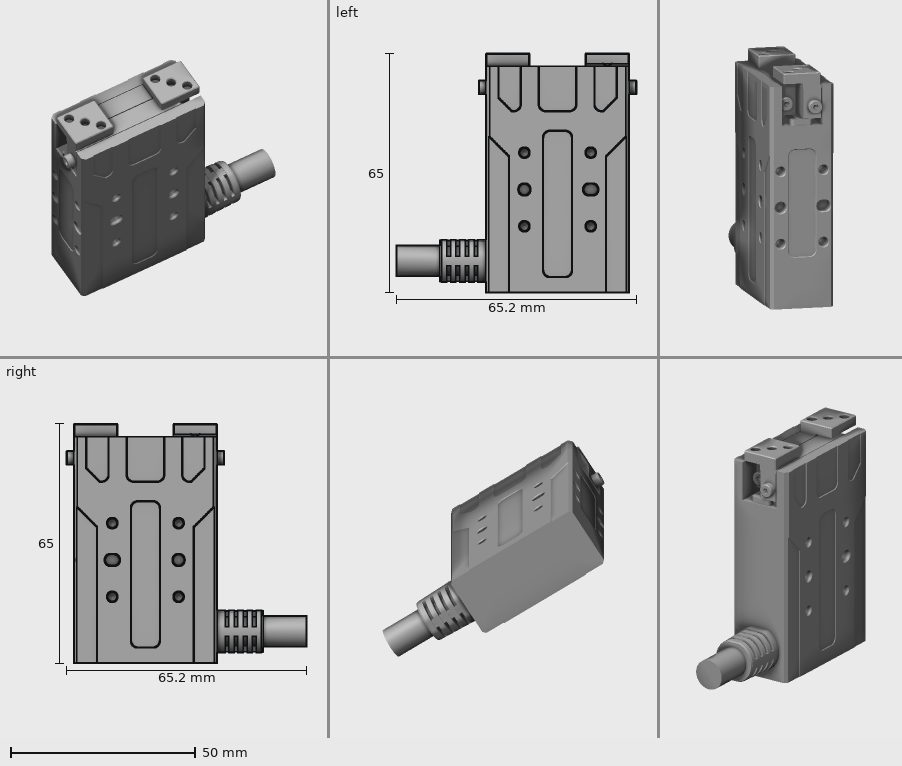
import cadquery as cq
import math

HOUSING_WIDTH = 18.0
HOUSING_LENGTH = 38.9
HOUSING_HEIGHT = 61.5
CORNER_CHAMFER = 1.0
HALF_WIDTH = HOUSING_WIDTH / 2
HALF_LENGTH = HOUSING_LENGTH / 2

SLOT_WIDTH = 11.3
SLOT_FLOOR = 50.4

RECESS_DEPTH = 0.2
RECESS_WALL_ANGLE = 45.0
RECESS_RADIUS = 2.0
RECESS_OVERRUN = 1.0
PANEL_WIDTH = 8.05
PANEL_TOP = 44.05
SIDE_PANEL_BOTTOM = 4.1
FRONT_PANEL_BOTTOM = 14.05
TOP_POCKET_BOTTOM = 49.15
OPEN_TOP = HOUSING_HEIGHT + RECESS_OVERRUN
MIDDLE_POCKET_WIDTH = 10.4
OUTER_POCKET_INNER_Y = 9.9
OUTER_POCKET_OUTER_Y = 16.15
OUTER_POCKET_CHAMFER = 3.7
FLANK_INNER_Y = 13.05
FLANK_SHOULDER_Z = 37.0
FLANK_TOP_Z = FLANK_SHOULDER_Z + HALF_LENGTH - FLANK_INNER_Y

MOUNT_CENTER_Z = 28.0
MOUNT_PITCH_Z = 10.0
SIDE_HOLE_Y = 9.0
FRONT_HOLE_X = 6.0
SCREW_HOLE_DIAMETER = 2.5
SCREW_HOLE_DEPTH = 6.0
DOWEL_DIAMETER = 3.0
DOWEL_DEPTH = 3.0
DOWEL_SLOT_LENGTH = 3.8
HOLE_CHAMFER = 0.25
DRILL_POINT_ANGLE = 118.0

RAIL_TOP = 52.1
RAIL_WIDTH = 2.0
RAIL_HEAD_WIDTH = 6.1
RAIL_HEAD_LENGTH = 1.9
RAIL_HEAD_RADIUS = 1.0
RAIL_HALF_LENGTH = 19.1

CABLE_Z = 8.6
CABLE_DIAMETER = 8.4
CABLE_END_Y = 43.75
BOOT_BASE_DIAMETER = 12.9
BOOT_TIP_DIAMETER = 12.0
BOOT_TIP_Y = 31.95
BOOT_TIP_BEVEL_LENGTH = 0.5
BOOT_TIP_BEVEL_HEIGHT = 0.2
BOOT_FLAT_BLEND = 2.5
BOOT_HEIGHT = 11.5
BOOT_GROOVE_COUNT = 4
BOOT_GROOVE_WIDTH = 1.0
BOOT_GROOVE_PITCH = 2.47
BOOT_FIRST_GROOVE_Y = 22.15
BOOT_RIB_HALF_HEIGHT = 1.3
BOOT_CORE_DIAMETER = 8.2
BOOT_WEB_WIDTH = 2.4
BOOT_WEB_HEIGHT = 11.1

JAW_OUTER_Y = HALF_LENGTH
JAW_TOP = 65.0
PLATE_WIDTH = 10.4
PLATE_LENGTH = 11.9
PLATE_CENTER_Y = JAW_OUTER_Y - PLATE_LENGTH / 2
PLATE_UNDERSIDE = 62.15
PLATE_CHAMFER = 0.25

BAR_BOTTOM = 52.36
BAR_INNER_X = 0.3
BAR_OUTER_X = PLATE_WIDTH / 2
BAR_FAR_Y = 13.3
FLANGE_THICKNESS = 0.9
FLANGE_INNER_X = 0.15
FLANGE_OUTER_X = 5.45

FOOT_BOTTOM = 50.85
FOOT_INNER_X = 2.6
FOOT_OUTER_X = 5.0
FOOT_HALF_LENGTH = 10.0

STOP_SCREW_X = 3.3
STOP_SCREW_Z = 55.7
STOP_SCREW_DIAMETER = 3.8
STOP_SCREW_LENGTH = 2.0
STOP_SCREW_CHAMFER = 0.2
SOCKET_ACROSS_FLATS = 1.5
SOCKET_DEPTH = 1.0

TIP_HOLE_X = 3.15
TIP_HOLE_Y = 3.2
TIP_DOWEL_DIAMETER = 2.7
TIP_DOWEL_DEPTH = 2.3
TIP_THREAD_DEPTH = JAW_TOP - PLATE_UNDERSIDE
TIP_HOLE_CHAMFER = 0.15


def box_between(x0, x1, y0, y1, z0, z1):
    return cq.Workplane("XY").box(x1 - x0, y1 - y0, z1 - z0, centered=False).translate((x0, y0, z0))


def drill_point_length(radius):
    return radius / math.tan(math.radians(DRILL_POINT_ANGLE / 2))


def drilled_hole(diameter, depth, chamfer):
    """Cutter for a chamfered hole with a drill point, going down from the origin."""
    radius = diameter / 2
    profile = [
        (0, 0),
        (radius + chamfer, 0),
        (radius, -chamfer),
        (radius, -depth),
        (0, -depth - drill_point_length(radius)),
    ]
    return cq.Workplane("XZ").polyline(profile).close().revolve(360, (0, 0, 0), (0, 1, 0))


def flat_hole(diameter, depth, chamfer, length=None):
    """Cutter for a chamfered flat-bottomed hole, lengthened along X when a length is given."""
    half_stretch = ((length or diameter) - diameter) / 2
    radius = diameter / 2
    profile = [
        (0, 0),
        (radius + chamfer, 0),
        (radius, -chamfer),
        (radius, -depth),
        (0, -depth),
    ]
    round_hole = cq.Workplane("XZ").polyline(profile).close().revolve(360, (0, 0, 0), (0, 1, 0))
    if half_stretch == 0:
        return round_hole
    middle = (
        cq.Workplane("YZ")
        .polyline(profile + [(-x, z) for x, z in reversed(profile[1:-1])])
        .close()
        .extrude(half_stretch, both=True)
    )
    left_end = round_hole.translate((-half_stretch, 0, 0))
    return middle.union(left_end).union(round_hole.translate((half_stretch, 0, 0)))


def mounting_holes(half_spacing):
    """Four threaded holes, a round dowel hole and a slotted one, drilled down from the XY plane.

    Y runs along the housing's height and the slotted hole lies at +X.
    """
    screw_hole = drilled_hole(SCREW_HOLE_DIAMETER, SCREW_HOLE_DEPTH, HOLE_CHAMFER)
    holes = flat_hole(DOWEL_DIAMETER, DOWEL_DEPTH, HOLE_CHAMFER).translate((-half_spacing, 0, 0))
    slotted_hole = flat_hole(DOWEL_DIAMETER, DOWEL_DEPTH, HOLE_CHAMFER, DOWEL_SLOT_LENGTH)
    holes = holes.union(slotted_hole.translate((half_spacing, 0, 0)))
    for x in (-half_spacing, half_spacing):
        for y in (-MOUNT_PITCH_Z, MOUNT_PITCH_Z):
            holes = holes.union(screw_hole.translate((x, y, 0)))
    return holes


def shallow_recess(outline):
    """Recess with leaning walls, sunk into the XY plane from a sketched outline."""
    return cq.Workplane("XY").placeSketch(outline).extrude(-RECESS_DEPTH, taper=RECESS_WALL_ANGLE)


def panel_recess(bottom):
    """Rounded rectangular recess in the XY plane, Y being the housing's height."""
    height = PANEL_TOP - bottom
    outline = cq.Sketch().rect(PANEL_WIDTH, height).vertices().fillet(RECESS_RADIUS)
    return shallow_recess(outline).translate((0, bottom + height / 2, 0))


def top_pockets():
    """Three recesses running out through the housing top, Y being the housing's height."""
    middle_height = OPEN_TOP - TOP_POCKET_BOTTOM
    middle_outline = (
        cq.Sketch().rect(MIDDLE_POCKET_WIDTH, middle_height).vertices("<Y").fillet(RECESS_RADIUS)
    )
    middle = shallow_recess(middle_outline).translate((0, TOP_POCKET_BOTTOM + middle_height / 2, 0))
    corners = [
        (OUTER_POCKET_INNER_Y, OPEN_TOP),
        (OUTER_POCKET_INNER_Y, TOP_POCKET_BOTTOM),
        (OUTER_POCKET_OUTER_Y - OUTER_POCKET_CHAMFER, TOP_POCKET_BOTTOM),
        (OUTER_POCKET_OUTER_Y, TOP_POCKET_BOTTOM + OUTER_POCKET_CHAMFER),
        (OUTER_POCKET_OUTER_Y, OPEN_TOP),
        (OUTER_POCKET_INNER_Y, OPEN_TOP),
    ]
    outer = shallow_recess(cq.Sketch().polygon(corners).vertices("<X and <Y").fillet(RECESS_RADIUS))
    return middle.union(outer).union(outer.mirror("YZ"))


def flank_recesses():
    """Recesses running out through the housing bottom and ends, Y being the housing's height."""
    corners = [
        (FLANK_INNER_Y, -RECESS_OVERRUN),
        (FLANK_INNER_Y, FLANK_SHOULDER_Z),
        (HALF_LENGTH + RECESS_OVERRUN, FLANK_TOP_Z + RECESS_OVERRUN),
        (HALF_LENGTH + RECESS_OVERRUN, -RECESS_OVERRUN),
        (FLANK_INNER_Y, -RECESS_OVERRUN),
    ]
    flank = shallow_recess(cq.Sketch().polygon(corners))
    return flank.union(flank.mirror("YZ"))


def side_features():
    """All cuts of the -X side, placed on that side."""
    cuts = mounting_holes(SIDE_HOLE_Y).translate((0, MOUNT_CENTER_Z, 0))
    cuts = cuts.union(panel_recess(SIDE_PANEL_BOTTOM)).union(top_pockets()).union(flank_recesses())
    upright = cuts.rotate((0, 0, 0), (1, 0, 0), 90)
    return upright.rotate((0, 0, 0), (0, 0, 1), -90).translate((-HALF_WIDTH, 0, 0))


def front_features():
    """All cuts of the -Y face, placed on that face."""
    cuts = mounting_holes(FRONT_HOLE_X).translate((0, MOUNT_CENTER_Z, 0))
    cuts = cuts.union(panel_recess(FRONT_PANEL_BOTTOM))
    return cuts.rotate((0, 0, 0), (1, 0, 0), 90).translate((0, -HALF_LENGTH, 0))


def guide_rail():
    height = RAIL_TOP - SLOT_FLOOR
    rail = cq.Workplane("XY").box(RAIL_WIDTH, 2 * RAIL_HALF_LENGTH, height, centered=(True, True, False))
    head = (
        cq.Workplane("XY")
        .box(RAIL_HEAD_WIDTH, RAIL_HEAD_LENGTH, height, centered=(True, False, False))
        .edges("|Z and <Y")
        .fillet(RAIL_HEAD_RADIUS)
        .translate((0, -RAIL_HALF_LENGTH, 0))
    )
    return rail.union(head).union(head.mirror("XZ")).translate((0, 0, SLOT_FLOOR))


def boot_groove(y):
    """One ring groove, interrupted by the side ribs, the core and the upright web."""
    half_slab = BOOT_BASE_DIAMETER
    groove = cq.Workplane("XY").box(2 * half_slab, BOOT_GROOVE_WIDTH, 2 * half_slab)
    ribs = cq.Workplane("XY").box(2 * half_slab, BOOT_GROOVE_WIDTH, 2 * BOOT_RIB_HALF_HEIGHT)
    web = cq.Workplane("XY").box(BOOT_WEB_WIDTH, BOOT_GROOVE_WIDTH, BOOT_WEB_HEIGHT)
    core = cq.Workplane("XZ").circle(BOOT_CORE_DIAMETER / 2).extrude(BOOT_GROOVE_WIDTH / 2, both=True)
    return groove.cut(ribs).cut(web).cut(core).translate((0, y, CABLE_Z))


def boot_body():
    """Tapered cone with flats on top and bottom, lying along Y on the axis."""
    profile = [
        (0, HALF_LENGTH),
        (BOOT_BASE_DIAMETER / 2, HALF_LENGTH),
        (BOOT_TIP_DIAMETER / 2, BOOT_TIP_Y),
        (0, BOOT_TIP_Y),
    ]
    cone = cq.Workplane("XY").polyline(profile).close().revolve(360, (0, 0, 0), (0, 1, 0))
    flats = cq.Workplane("XY").box(2 * BOOT_BASE_DIAMETER, 2 * CABLE_END_Y, BOOT_HEIGHT)
    body = cone.intersect(flats)
    for side in ("<Z", ">Z"):
        body = body.faces(side).edges("not |X").fillet(BOOT_FLAT_BLEND)
    return body.faces(">Y").chamfer(BOOT_TIP_BEVEL_LENGTH, BOOT_TIP_BEVEL_HEIGHT)


def cable_and_boot():
    body = boot_body().translate((0, 0, CABLE_Z))
    for index in range(BOOT_GROOVE_COUNT):
        body = body.cut(boot_groove(BOOT_FIRST_GROOVE_Y + index * BOOT_GROOVE_PITCH))
    cable = (
        cq.Workplane("XZ", origin=(0, BOOT_TIP_Y, CABLE_Z))
        .circle(CABLE_DIAMETER / 2)
        .extrude(BOOT_TIP_Y - CABLE_END_Y)
    )
    return body.union(cable)


def make_housing():
    block = (
        cq.Workplane("XY")
        .box(HOUSING_WIDTH, HOUSING_LENGTH, HOUSING_HEIGHT, centered=(True, True, False))
        .edges("|Z")
        .chamfer(CORNER_CHAMFER)
    )
    guide_slot = box_between(
        -SLOT_WIDTH / 2, SLOT_WIDTH / 2, -HALF_LENGTH, HALF_LENGTH, SLOT_FLOOR, HOUSING_HEIGHT
    )
    side_cuts = side_features()
    block = block.cut(guide_slot).cut(side_cuts).cut(side_cuts.mirror("YZ")).cut(front_features())
    return block.union(guide_rail()).union(cable_and_boot())


def stop_screw():
    """Screw head with a hexagon socket and a drill point below it, standing on the XY plane."""
    socket_floor = cq.Vector(0, 0, STOP_SCREW_LENGTH - SOCKET_DEPTH)
    point_radius = SOCKET_ACROSS_FLATS / 2
    drill_point = cq.Solid.makeCone(
        point_radius, 0, drill_point_length(point_radius), pnt=socket_floor, dir=cq.Vector(0, 0, -1)
    )
    return (
        cq.Workplane("XY")
        .circle(STOP_SCREW_DIAMETER / 2)
        .extrude(STOP_SCREW_LENGTH)
        .faces(">Z")
        .edges()
        .chamfer(STOP_SCREW_CHAMFER)
        .faces(">Z")
        .workplane()
        .polygon(6, SOCKET_ACROSS_FLATS / math.cos(math.pi / 6))
        .cutBlind(-SOCKET_DEPTH)
        .cut(drill_point)
    )


def jaw_plate():
    plate = (
        box_between(
            -PLATE_WIDTH / 2, PLATE_WIDTH / 2, -JAW_OUTER_Y, PLATE_LENGTH - JAW_OUTER_Y, HOUSING_HEIGHT, JAW_TOP
        )
        .edges("|Z or >Z")
        .chamfer(PLATE_CHAMFER)
    )
    clearance = box_between(
        -PLATE_WIDTH / 2, FLANGE_INNER_X, -JAW_OUTER_Y, PLATE_LENGTH - JAW_OUTER_Y, HOUSING_HEIGHT, PLATE_UNDERSIDE
    )
    return plate.cut(clearance)


def jaw_plate_holes():
    thread = drilled_hole(SCREW_HOLE_DIAMETER, TIP_THREAD_DEPTH, HOLE_CHAMFER)
    dowel = flat_hole(TIP_DOWEL_DIAMETER, TIP_DOWEL_DEPTH, TIP_HOLE_CHAMFER)
    holes = thread
    for side in (-1, 1):
        holes = holes.union(dowel.translate((side * TIP_HOLE_X, side * TIP_HOLE_Y, 0)))
    return holes.translate((0, -PLATE_CENTER_Y, JAW_TOP))


def make_front_jaw():
    """Jaw with its plate at -Y and its bar on the +X half of the guide slot."""
    flange_bottom = HOUSING_HEIGHT - FLANGE_THICKNESS
    bar = box_between(BAR_INNER_X, BAR_OUTER_X, -JAW_OUTER_Y, BAR_FAR_Y, BAR_BOTTOM, HOUSING_HEIGHT)
    flange = box_between(
        FLANGE_INNER_X, FLANGE_OUTER_X, -JAW_OUTER_Y, BAR_FAR_Y, flange_bottom, HOUSING_HEIGHT
    )
    foot = box_between(
        FOOT_INNER_X, FOOT_OUTER_X, -FOOT_HALF_LENGTH, FOOT_HALF_LENGTH, FOOT_BOTTOM, BAR_BOTTOM
    )
    front_screw = stop_screw().rotate((0, 0, 0), (1, 0, 0), 90)
    front_screw = front_screw.translate((STOP_SCREW_X, -JAW_OUTER_Y, STOP_SCREW_Z))
    far_screw = stop_screw().rotate((0, 0, 0), (1, 0, 0), -90)
    far_screw = far_screw.translate((STOP_SCREW_X, BAR_FAR_Y, STOP_SCREW_Z))
    jaw = bar.union(flange).union(foot).union(jaw_plate()).union(front_screw).union(far_screw)
    return jaw.cut(jaw_plate_holes())


housing = make_housing()
jaws = [make_front_jaw().rotate((0, 0, 0), (0, 0, 1), angle) for angle in (0, 180)]

result = cq.Compound.makeCompound([housing.val(), *[jaw.val() for jaw in jaws]])